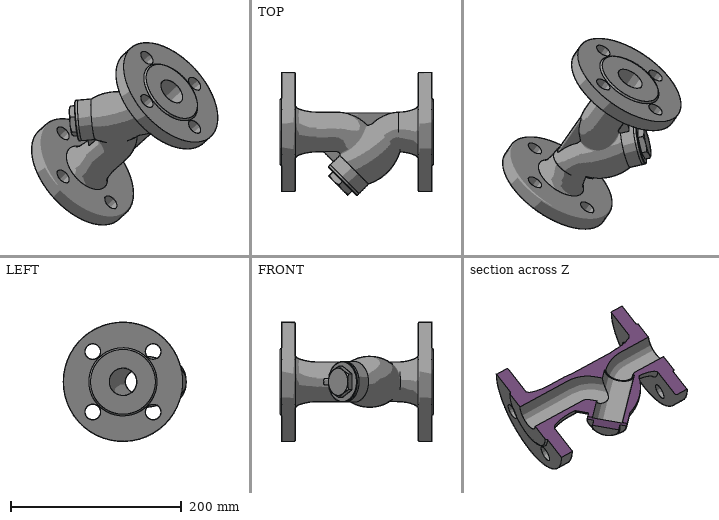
import cadquery as cq
import math


half_length = 90.0
flange_radius = 70.0
flange_back = 72.0
raised_face_radius = 40.0
raised_face_height = 2.0
rim_rounding = 1.8
bolt_hole_diameter = 18.0
bolt_circle_diameter = 100.0
bolt_count = 4

pipe_radius = 23.4
bore_radius = 16.0
chamber_radius = 17.6
neck_end = 67.5
neck_end_radius = 27.0
neck_root_radius = 30.6
inlet_neck_start = 47.0
outlet_neck_start = 49.1
inlet_bend_radius = 26.3
inlet_bend_start = -23.2
outlet_bend_radius = 23.8

barrel_x = 41.0
bulge_position = 33.3
bulge_radius = 29.9
collar_radius = 24.0
collar_start = 62.5
collar_end = 78.1
joint_rounding = 1.8

web_thickness = 7.7
web_back_y = 22.5
web_front_position = 72.9
web_rounding = 2.0

cap_flange_end = 81.7
cap_chamfer = 0.7
hexagon_across_flats = 31.9
hexagon_end = 89.0

diagonal = math.sqrt(0.5)
bend_angle = math.pi / 4
bend_tangent = math.tan(bend_angle / 2)
inlet_corner_x = inlet_bend_start + bend_tangent * inlet_bend_radius
outlet_bend_start = barrel_x + bend_tangent * outlet_bend_radius
barrel_start = bend_tangent * outlet_bend_radius
inlet_junction = (barrel_x - inlet_corner_x) * diagonal
barrel_plane = cq.Plane(origin=(barrel_x, 0, 0), xDir=(1, -1, 0), normal=(0, 0, -1))


def barrel_point(across, along):
    """X and Y of a point given in the barrel plane."""
    return barrel_x + (across - along) * diagonal, -(across + along) * diagonal


def bend_point(start_x, radius, turn):
    """Point on a downward bend that starts on the run axis, after the turn (negative: towards -X)."""
    return start_x + radius * math.sin(turn), radius * (math.cos(turn) - 1)


def inlet_run(radius):
    """Round bar along the inlet, from the flange face round the bend to the barrel axis."""
    path = (
        cq.Workplane("XY")
        .moveTo(-half_length, 0)
        .lineTo(inlet_bend_start, 0)
        .threePointArc(
            bend_point(inlet_bend_start, inlet_bend_radius, bend_angle / 2),
            bend_point(inlet_bend_start, inlet_bend_radius, bend_angle),
        )
        .lineTo(*barrel_point(0, inlet_junction))
    )
    return cq.Workplane("YZ", origin=(-half_length, 0, 0)).circle(radius).sweep(path)


def outlet_run(radius):
    """Round bar along the outlet, from the flange face round the bend to the barrel."""
    path = (
        cq.Workplane("XY")
        .moveTo(half_length, 0)
        .lineTo(outlet_bend_start, 0)
        .threePointArc(
            bend_point(outlet_bend_start, outlet_bend_radius, -bend_angle / 2),
            bend_point(outlet_bend_start, outlet_bend_radius, -bend_angle),
        )
    )
    return cq.Workplane("YZ", origin=(half_length, 0, 0)).circle(radius).sweep(path)


def flange_with_neck(neck_start):
    """Flange with raised face and flared neck, facing +X."""
    face_x = half_length - raised_face_height
    neck_length = neck_end - neck_start
    flare = neck_end_radius - pipe_radius
    half_flare_angle = math.atan2(flare, neck_length)
    flare_arc_radius = (neck_length**2 + flare**2) / (2 * flare)
    flare_middle = (
        neck_start + flare_arc_radius * math.sin(half_flare_angle),
        pipe_radius + flare_arc_radius * (1 - math.cos(half_flare_angle)),
    )
    flange = (
        cq.Workplane("XY")
        .moveTo(neck_start, 0)
        .lineTo(neck_start, pipe_radius)
        .threePointArc(flare_middle, (neck_end, neck_end_radius))
        .tangentArcPoint((flange_back, neck_root_radius), relative=False)
        .lineTo(flange_back, flange_radius - rim_rounding)
        .radiusArc((flange_back + rim_rounding, flange_radius), rim_rounding)
        .lineTo(face_x, flange_radius)
        .lineTo(face_x, raised_face_radius)
        .lineTo(half_length, raised_face_radius - raised_face_height)
        .lineTo(half_length, 0)
        .close()
        .revolve(360, (0, 0, 0), (1, 0, 0))
    )
    bolt_holes = (
        cq.Workplane("YZ", origin=(flange_back, 0, 0))
        .polarArray(bolt_circle_diameter / 2, 180 / bolt_count, 360, bolt_count)
        .circle(bolt_hole_diameter / 2)
        .extrude(half_length - flange_back)
    )
    return flange.cut(bolt_holes)


def barrel():
    """Bulged strainer barrel with the straight collar that carries the cap."""
    return (
        cq.Workplane(barrel_plane)
        .moveTo(0, barrel_start)
        .lineTo(pipe_radius, barrel_start)
        .threePointArc((bulge_radius, bulge_position), (collar_radius, collar_start))
        .lineTo(collar_radius, collar_end)
        .lineTo(0, collar_end)
        .close()
        .revolve(360, (0, 0, 0), (0, 1, 0))
    )


def web():
    """Flat stiffener in the plane of the run and the barrel, with rounded free edges."""
    front_corner_x = barrel_x - web_front_position / diagonal
    return (
        cq.Workplane("XY", origin=(0, 0, -web_thickness / 2))
        .moveTo(front_corner_x, 0)
        .lineTo(*barrel_point(0, web_front_position))
        .lineTo(barrel_x, 0)
        .lineTo(barrel_x, web_back_y)
        .lineTo(inlet_bend_start, web_back_y)
        .lineTo(inlet_bend_start, 0)
        .close()
        .extrude(web_thickness)
        .edges("(|(1, -1, 0)) or (>Y and |X)")
        .fillet(web_rounding)
    )


def chamber():
    """Straight passage inside the barrel, open at the collar."""
    return (
        cq.Workplane(barrel_plane)
        .moveTo(0, barrel_start)
        .lineTo(chamber_radius, barrel_start)
        .lineTo(chamber_radius, collar_end)
        .lineTo(0, collar_end)
        .close()
        .revolve(360, (0, 0, 0), (0, 1, 0))
    )


def rounded_pipework():
    """Inlet, barrel and outlet as one solid, with the joints at the barrel rounded."""
    pipework = inlet_run(pipe_radius).union(barrel()).union(outlet_run(pipe_radius))
    inlet_joint = pipework.edges("%BSPLINE")
    joint_x, joint_y = barrel_point(0, barrel_start)
    outlet_joint = pipework.edges(
        cq.selectors.BoxSelector(
            (joint_x - joint_rounding, joint_y - joint_rounding, -pipe_radius),
            (joint_x + joint_rounding, joint_y + joint_rounding, pipe_radius),
        )
    )
    return pipework.newObject(inlet_joint.vals() + outlet_joint.vals()).fillet(joint_rounding)


def make_housing():
    """Housing with the flow passage cut through it."""
    body = rounded_pipework().union(web())
    body = body.union(flange_with_neck(outlet_neck_start))
    body = body.union(flange_with_neck(inlet_neck_start).mirror("YZ"))
    return body.cut(inlet_run(bore_radius)).cut(outlet_run(bore_radius)).cut(chamber())


def make_cap():
    """Round cap flange with a hexagon head whose corners are bevelled."""
    cap_plane = cq.Plane(
        origin=(*barrel_point(0, collar_end), 0), xDir=(0, 0, 1), normal=(-1, -1, 0)
    )
    outward = cq.selectors.DirectionMinMaxSelector(cap_plane.zDir, True)
    flange = (
        cq.Workplane(cap_plane)
        .circle(collar_radius)
        .extrude(cap_flange_end - collar_end)
        .faces(outward)
        .chamfer(cap_chamfer)
    )
    corner_radius = hexagon_across_flats / 2 / math.cos(math.pi / 6)
    corner_overhang = corner_radius - hexagon_across_flats / 2
    bevel_depth = corner_overhang * math.tan(math.pi / 6)
    head_height = hexagon_end - collar_end
    head = cq.Workplane(cap_plane).polygon(6, 2 * corner_radius).extrude(head_height)
    bevel = (
        cq.Workplane(cap_plane)
        .circle(corner_radius)
        .extrude(head_height)
        .faces(outward)
        .chamfer(bevel_depth, corner_overhang)
    )
    return flange.union(head.intersect(bevel))


housing = make_housing()
cap = make_cap()
result = cq.Compound.makeCompound([housing.val(), cap.val()])